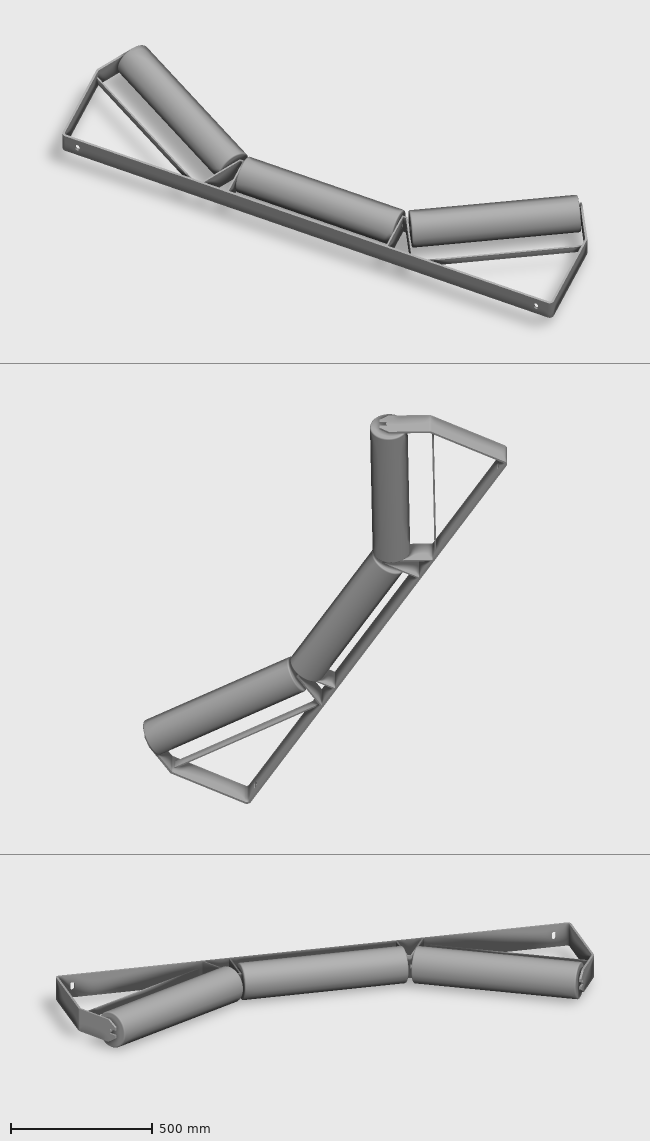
import cadquery as cq
import math

overall_width = 1890.0
overall_depth = 493.02
trough_angle = 30.0

roller_diameter = 133.0
roller_length = 600.0
roller_rim_fillet = 5.0
centre_axis_y = 124.5
wing_end_inset = 85.0

axle_diameter = 20.0
axle_flat_width = 18.0

strip_width = 85.0
frame_thickness = 8.0
bend_radius = 16.0
arm_height = 316.0
arm_tip_length = 180.0
tip_chamfer_along = 33.0
tip_chamfer_across = 22.0

mount_slot_width = 16.0
mount_slot_height = 30.0
mount_slot_inset = 62.0

bracket_thickness = 6.0
bracket_height = 152.0
bracket_leg_x = 303.0
bracket_wing_gap = 8.0

strut_thickness = 6.0
strut_width = 30.0
strut_head_y = 306.0

half_width = overall_width / 2
arm_inner_x = half_width - frame_thickness
roller_radius = roller_diameter / 2
slot_cut_length = roller_diameter
angle = math.radians(trough_angle)
cos_a = math.cos(angle)
sin_a = math.sin(angle)

rim_rise = (roller_radius - roller_rim_fillet) * cos_a + roller_rim_fillet * (1 - sin_a)
wing_x = half_width - wing_end_inset - roller_length / 2 * cos_a
wing_y = overall_depth - rim_rise - roller_length / 2 * sin_a


def along_wing(x, y):
    return (x - wing_x) * cos_a + (y - wing_y) * sin_a


def across_wing(x, y):
    return (y - wing_y) * cos_a - (x - wing_x) * sin_a


def wing_point_at_y(along, y):
    """XY point at a given distance along the wing axis and a given Y."""
    across = (y - wing_y - along * sin_a) / cos_a
    return (wing_x + along * cos_a - across * sin_a, y)


def wing_point(along, across):
    """XY point at a given distance along the wing axis and across it."""
    return (wing_x + along * cos_a - across * sin_a, wing_y + along * sin_a + across * cos_a)


def place_on_wing(shape):
    """Move a shape built about the X axis onto the right wing roller's axis."""
    return shape.rotate((0, 0, 0), (0, 0, 1), trough_angle).translate((wing_x, wing_y, 0))


arm_outer_along = along_wing(half_width, arm_height)
arm_inner_along = arm_outer_along - frame_thickness
bracket_near_along = -roller_length / 2 - bracket_wing_gap
bracket_far_along = bracket_near_along - bracket_thickness
bracket_leg_far_x = bracket_leg_x + bracket_thickness
arm_tip_across = across_wing(half_width, arm_height) + arm_tip_length


def plate(outline, width):
    """Extrude an XY outline to a width centred on Z = 0."""
    return cq.Workplane("XY").polyline(outline).close().extrude(width / 2, both=True)


def mirrored(shape):
    return shape.mirror("YZ")


def axle_bar(start, length):
    """Round bar along X with two flats facing up and down."""
    section = cq.Workplane("YZ").workplane(offset=start)
    flats = section.rect(axle_diameter, axle_flat_width).extrude(length)
    return section.circle(axle_diameter / 2).extrude(length).intersect(flats)


def axle_slot(start, length):
    """Cutter that fits the axle and runs out upward (+Y)."""
    opening = (cq.Workplane("YZ").workplane(offset=start).center(slot_cut_length / 2, 0)
               .rect(slot_cut_length, axle_flat_width).extrude(length))
    return axle_bar(start, length).union(opening)


def bend_corner(body, x, outer_y, inner_y):
    """Round the outside and the inside edge of one bend; x is signed by side."""
    side = math.copysign(1, x)
    outer_edge = cq.NearestToPointSelector((x, outer_y, 0))
    body = body.edges(outer_edge).fillet(bend_radius)
    inner_edge = cq.NearestToPointSelector((side * arm_inner_x, inner_y, 0))
    return body.edges(inner_edge).fillet(bend_radius - frame_thickness)


def arm_tip_cutter():
    """Two corner chamfers and the axle slot at the tip of the right arm."""
    corner = (cq.Workplane("YZ").workplane(offset=arm_inner_along)
              .moveTo(arm_tip_across, strip_width / 2)
              .lineTo(arm_tip_across - tip_chamfer_along, strip_width / 2)
              .lineTo(arm_tip_across, strip_width / 2 - tip_chamfer_across)
              .close().extrude(frame_thickness))
    slot = axle_slot(arm_inner_along, frame_thickness)
    return place_on_wing(corner.union(corner.mirror("XY")).union(slot))


def make_frame():
    bend_inner_y = arm_height - frame_thickness * math.tan(angle / 2)
    right_side = [
        (half_width, 0),
        (half_width, arm_height),
        wing_point(arm_outer_along, arm_tip_across),
        wing_point(arm_inner_along, arm_tip_across),
        (arm_inner_x, bend_inner_y),
        (arm_inner_x, frame_thickness),
    ]
    left_side = [(-x, y) for x, y in reversed(right_side)]
    body = plate(right_side + left_side, strip_width)
    for x in (-half_width, half_width):
        body = bend_corner(body, x, 0, frame_thickness)
        body = bend_corner(body, x, arm_height, bend_inner_y)

    mount_x = half_width - mount_slot_inset
    mount_slots = (cq.Workplane("XZ").pushPoints([(-mount_x, 0), (mount_x, 0)])
                   .slot2D(mount_slot_height, mount_slot_width, 90).extrude(-frame_thickness))
    tip = arm_tip_cutter()
    return body.cut(mount_slots).cut(tip).cut(mirrored(tip))


def make_roller(axle_start, axle_end):
    shell = (cq.Workplane("YZ").workplane(offset=-roller_length / 2)
             .circle(roller_radius).extrude(roller_length)
             .faces("<X or >X").edges().fillet(roller_rim_fillet))
    return shell.union(axle_bar(axle_start, axle_end - axle_start))


def make_bracket():
    top_inner_y = bracket_height - bracket_thickness
    body = plate([
        (bracket_leg_x, frame_thickness),
        (bracket_leg_x, bracket_height),
        wing_point_at_y(bracket_near_along, bracket_height),
        wing_point_at_y(bracket_near_along, frame_thickness),
        wing_point_at_y(bracket_far_along, frame_thickness),
        wing_point_at_y(bracket_far_along, top_inner_y),
        (bracket_leg_far_x, top_inner_y),
        (bracket_leg_far_x, frame_thickness),
    ], strip_width)
    centre_slot = axle_slot(bracket_leg_x, bracket_thickness).translate((0, centre_axis_y, 0))
    wing_slot = place_on_wing(axle_slot(bracket_far_along, bracket_thickness))
    return body.cut(centre_slot).cut(wing_slot)


def make_strut():
    slope = math.tan(angle)
    drop = strut_thickness / cos_a
    run = (strut_head_y - frame_thickness) / slope
    foot_x = arm_inner_x - run
    return plate([
        (arm_inner_x, strut_head_y),
        (foot_x, frame_thickness),
        (foot_x + drop / slope, frame_thickness),
        (arm_inner_x, strut_head_y - drop),
    ], strut_width)


frame = make_frame()
centre_roller = make_roller(-bracket_leg_far_x, bracket_leg_far_x).translate((0, centre_axis_y, 0))
bodies = [frame.solids().val(), centre_roller.solids().val()]

wing_roller = place_on_wing(make_roller(bracket_far_along, arm_outer_along))
for right_body in (wing_roller, make_bracket(), make_strut()):
    bodies.append(right_body.solids().val())
    bodies.append(mirrored(right_body).solids().val())

result = cq.Compound.makeCompound(bodies)